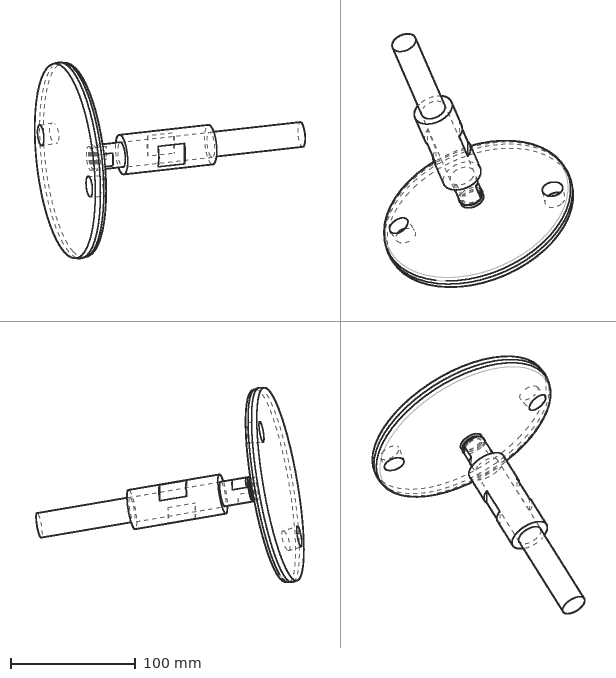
import cadquery as cq
import math


plate_radius = 79.0
rim_draft = 0.5
rim_widest_y = 4.2
shoulder_start_y = 7.2
shoulder_end_y = 9.8
shoulder_end_radius = 76.8
cone_top_y = 20.9
cone_top_radius = 9.8
collar_base_radius = 9.0
collar_base_y = 21.5
collar_waist_radius = 8.2
collar_waist_y = 22.3
collar_lip_radius = 9.2
collar_top_y = 23.0

mount_hole_diameter = 16.5
mount_hole_offset = 62.7
mount_hole_count = 2
mount_hole_margin = 10.0
cone_slope = math.atan2(cone_top_y - shoulder_end_y, shoulder_end_radius - cone_top_radius)

spindle_radius = 20.0 / 2
spindle_end_y = 199.0
head_bottom_y = 24.5
neck_top_radius = 7.4
neck_bottom_radius = 6.8
spindle_flat_width = 17.0
spindle_flat_bottom_y = 25.5
spindle_flat_top_y = 37.5
flat_runout = 0.8

sleeve_radius = 32.0 / 2
sleeve_bottom_y = 47.5
sleeve_length = 75.0
sleeve_flat_width = 26.9
sleeve_flat_length = 22.3


def revolve_about_y(sketch):
    """Revolve a closed half-profile a full turn about the Y axis."""
    return sketch.close().revolve(360, (0, 0, 0), (0, 1, 0))


def cylinder_along_y(radius, bottom_y, length):
    """Cylinder on the Y axis, starting at bottom_y."""
    return cq.Workplane("XZ", origin=(0, bottom_y, 0)).circle(radius).extrude(-length)


def make_foot_plate():
    """Drafted rim, rounded shoulder, conical top and small waisted collar."""
    rim_end_radius = plate_radius - rim_draft
    shoulder_bulge = (
        shoulder_end_radius + (rim_end_radius - shoulder_end_radius) * math.cos(math.pi / 4),
        shoulder_start_y + (shoulder_end_y - shoulder_start_y) * math.sin(math.pi / 4),
    )
    plate = revolve_about_y(
        cq.Workplane("XY")
        .lineTo(rim_end_radius, 0)
        .lineTo(plate_radius, rim_widest_y)
        .lineTo(rim_end_radius, shoulder_start_y)
        .threePointArc(shoulder_bulge, (shoulder_end_radius, shoulder_end_y))
        .lineTo(cone_top_radius, cone_top_y)
        .lineTo(collar_base_radius, collar_base_y)
        .lineTo(collar_waist_radius, collar_waist_y)
        .lineTo(collar_lip_radius, collar_top_y)
        .lineTo(0, collar_top_y)
    )
    for index in range(mount_hole_count):
        plate = plate.cut(make_mount_hole(index * 360 / mount_hole_count))
    return plate


def make_mount_hole(angle):
    """Cutter centred on its offset at Y = 0 and leaning outward with the cone normal."""
    direction = cq.Vector(math.sin(cone_slope), math.cos(cone_slope), 0)
    start = cq.Vector(mount_hole_offset, 0, 0) - direction * mount_hole_margin
    length = cone_top_y + 2 * mount_hole_margin
    hole = cq.Solid.makeCylinder(mount_hole_diameter / 2, length, start, direction)
    return cq.Workplane(hole).rotate((0, 0, 0), (0, 1, 0), angle)


def make_spindle():
    """Long rod on a tapered neck, with two wrench flats that run out at the foot end."""
    spindle = revolve_about_y(
        cq.Workplane("XY")
        .moveTo(0, collar_top_y)
        .lineTo(neck_bottom_radius, collar_top_y)
        .lineTo(neck_top_radius, head_bottom_y)
        .lineTo(spindle_radius, head_bottom_y)
        .lineTo(spindle_radius, spindle_end_y)
        .lineTo(0, spindle_end_y)
    )
    flat_x = spindle_flat_width / 2
    flat_cut = (
        cq.Workplane("XY")
        .moveTo(flat_x, spindle_flat_bottom_y)
        .lineTo(spindle_radius, spindle_flat_bottom_y + flat_runout)
        .lineTo(spindle_radius, spindle_flat_top_y)
        .lineTo(flat_x, spindle_flat_top_y)
        .close()
        .extrude(spindle_radius, both=True)
    )
    return spindle.cut(flat_cut).cut(flat_cut.mirror("YZ"))


def make_sleeve():
    """Plain sleeve fitted on the spindle, with two wrench flats at mid-length."""
    sleeve = cylinder_along_y(sleeve_radius, sleeve_bottom_y, sleeve_length)
    bore = cylinder_along_y(spindle_radius, sleeve_bottom_y, sleeve_length)
    flat_depth = sleeve_radius - sleeve_flat_width / 2
    flat_middle_y = sleeve_bottom_y + sleeve_length / 2
    flat_cut = cq.Workplane("XY").box(flat_depth, sleeve_flat_length, 2 * sleeve_radius)
    for side in (-1, 1):
        flat_middle_x = side * (sleeve_radius - flat_depth / 2)
        sleeve = sleeve.cut(flat_cut.translate((flat_middle_x, flat_middle_y, 0)))
    return sleeve.cut(bore)


foot_plate = make_foot_plate()
spindle = make_spindle()
sleeve = make_sleeve()

result = cq.Compound.makeCompound([foot_plate.val(), spindle.val(), sleeve.val()])